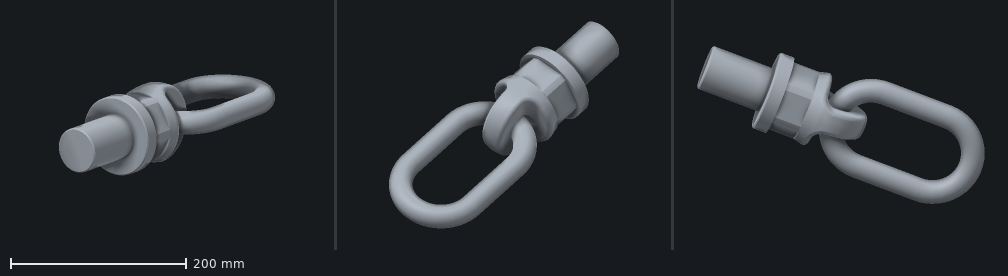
import cadquery as cq
import math


shank_diameter = 52.0
shank_length = 74.7
flange_diameter = 92.0
flange_height = 16.5
hex_across_flats = 75.0
hex_corner_diameter = 82.5
hex_turn = 30.0
hex_top = 49.0
edge_chamfer = 1.5
root_fillet = 1.8 / 2

ball_radius = flange_diameter / 2
ball_center = 75.0
taper_angle = 14.0
collar_top = 65.5
neck_thickness = 27.7
neck_flare = 14.0
eye_edge_fillet = 5.0
hole_diameter = 31.0
hole_center = 81.5
hole_fillet = 6.8

bar_diameter = 27.0
link_width = 119.0
overall_length = 338.0
link_straight = 75.5

link_bend_radius = (link_width - bar_diameter) / 2
link_tip = overall_length - shank_length
upper_bend_center = link_tip - link_width / 2
lower_bend_center = upper_bend_center - link_straight


def cylinder_along_y(diameter, start, end):
    """Round bar on the Y axis from Y = start to Y = end."""
    return (
        cq.Workplane("XZ", origin=(0, start, 0))
        .circle(diameter / 2)
        .extrude(start - end)
    )


def make_stud():
    """Plain shank, flange and hexagon with its corners turned down."""
    shank = cylinder_along_y(shank_diameter, -shank_length, 0)
    shank = shank.faces("<Y").chamfer(edge_chamfer)
    flange = cylinder_along_y(flange_diameter, 0, flange_height)
    flange = flange.faces("<Y").chamfer(edge_chamfer)
    hexagon = (
        cq.Workplane("XZ", origin=(0, flange_height, 0))
        .polygon(6, hex_across_flats, circumscribed=True)
        .extrude(flange_height - hex_top)
        .rotate((0, 0, 0), (0, 1, 0), hex_turn)
        .intersect(cylinder_along_y(hex_corner_diameter, flange_height, hex_top))
    )
    body = flange.union(shank).union(hexagon)
    seating_plane = cq.selectors.BoxSelector(
        (-flange_diameter, -root_fillet, -flange_diameter),
        (flange_diameter, root_fillet, flange_diameter),
        boundingbox=True,
    )
    root = body.edges(seating_plane).edges(cq.selectors.RadiusNthSelector(0))
    return root.fillet(root_fillet)


def make_turned_blank():
    """Ball that runs tangentially into a cone down to the hexagon."""
    taper = math.radians(taper_angle)
    tangent_radius = ball_radius * math.cos(taper)
    tangent_y = ball_center - ball_radius * math.sin(taper)
    foot_radius = tangent_radius - (tangent_y - hex_top) * math.tan(taper)
    return (
        cq.Workplane("XY")
        .moveTo(0, hex_top)
        .lineTo(foot_radius, hex_top)
        .lineTo(tangent_radius, tangent_y)
        .threePointArc((ball_radius, ball_center), (0, ball_center + ball_radius))
        .close()
        .revolve(360, (0, 0, 0), (0, 1, 0))
    )


def make_side_cutter(side):
    """Material beside the neck on one side (+1 or -1), with the flare down to the collar."""
    inner = side * neck_thickness / 2
    outer = side * 2 * ball_radius
    top = ball_center + 2 * ball_radius
    flare_start = collar_top + neck_flare
    flare_bulge = neck_flare * (1 - math.sqrt(0.5))
    return (
        cq.Workplane("XY")
        .moveTo(inner, top)
        .lineTo(inner, flare_start)
        .threePointArc(
            (inner + side * flare_bulge, collar_top + flare_bulge),
            (inner + side * neck_flare, collar_top),
        )
        .lineTo(outer, collar_top)
        .lineTo(outer, top)
        .close()
        .extrude(2 * ball_radius, both=True)
    )


def round_eye_rim(body):
    """Round the outer edges where the ball meets the neck sides, flares and collar top."""
    rim = body.faces("(%PLANE or %CYLINDER) and (not <Y)").edges("not %LINE")
    return rim.fillet(eye_edge_fillet)


def cut_eye_hole(body):
    """Cut the link hole along X and round both of its mouths."""
    hole = (
        cq.Workplane("YZ", origin=(-ball_radius, hole_center, 0))
        .circle(hole_diameter / 2)
        .extrude(2 * ball_radius)
    )
    around_hole = cq.selectors.BoxSelector(
        (-ball_radius, hole_center - hole_diameter, -hole_diameter / 2),
        (ball_radius, hole_center + hole_diameter / 2, hole_diameter / 2),
    )
    mouths = body.cut(hole).edges("not %LINE").edges(around_hole)
    return mouths.fillet(hole_fillet)


def make_eye():
    """Collar and neck with rounded edges and a rounded hole for the link."""
    body = make_turned_blank()
    for side in (1, -1):
        body = body.cut(make_side_cutter(side))
    return cut_eye_hole(round_eye_rim(body))


def make_link():
    """Oval ring of round bar in the XY plane."""
    path = (
        cq.Workplane("XY")
        .moveTo(link_bend_radius, lower_bend_center)
        .lineTo(link_bend_radius, upper_bend_center)
        .threePointArc(
            (0, upper_bend_center + link_bend_radius),
            (-link_bend_radius, upper_bend_center),
        )
        .lineTo(-link_bend_radius, lower_bend_center)
        .threePointArc(
            (0, lower_bend_center - link_bend_radius),
            (link_bend_radius, lower_bend_center),
        )
        .close()
    )
    return (
        cq.Workplane("XZ", origin=(link_bend_radius, lower_bend_center, 0))
        .circle(bar_diameter / 2)
        .sweep(path)
    )


stud = make_stud()
eye = make_eye()
link = make_link()
result = cq.Compound.makeCompound([stud.solids().val(), eye.solids().val(), link.val()])